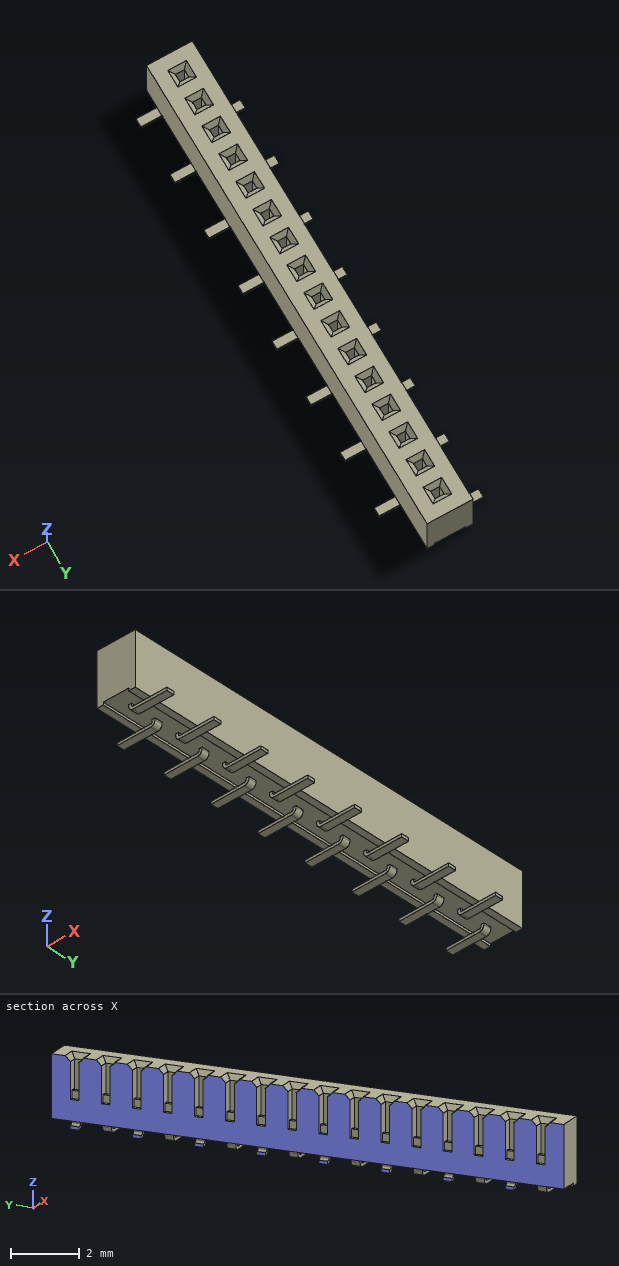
import cadquery as cq

contact_count = 16
row_length = 16.5
pitch = row_length / (contact_count + 0.5)

body_width = 1.55
body_bottom = 0.15
total_height = 2.25

lead_span = 2.95
contact_thickness = 0.12
contact_width = 0.3
bend_inner_radius = 0.07
bend_outer_radius = bend_inner_radius + contact_thickness

foot_width = 0.26
channel_width = body_width - 2 * foot_width
channel_depth = 0.1

mouth_x = 0.63
mouth_y = 0.6
funnel_depth = 0.16
bore_x = mouth_x - 2 * funnel_depth
bore_y = mouth_y - 2 * funnel_depth
bore_depth = 1.32
contact_rise = 0.25

socket_floor = total_height - bore_depth
contact_top = socket_floor + contact_rise

contact_positions = [
    (index - (contact_count - 1) / 2) * pitch for index in range(contact_count)
]


def box_from_base(size_x, size_y, size_z, base_z):
    """Box centred on the Z axis, standing on base_z."""
    base = cq.Workplane("XY").workplane(offset=base_z)
    return base.rect(size_x, size_y).extrude(size_z)


def make_body():
    body = box_from_base(body_width, row_length, total_height - body_bottom, body_bottom)
    channel = box_from_base(channel_width, row_length, channel_depth, body_bottom)
    return body.cut(channel)


def make_socket():
    """Tapered mouth leading into a rectangular blind bore."""
    funnel = (
        cq.Workplane("XY")
        .workplane(offset=total_height)
        .rect(mouth_x, mouth_y)
        .workplane(offset=-funnel_depth)
        .rect(bore_x, bore_y)
        .loft(ruled=True)
    )
    bore = box_from_base(bore_x, bore_y, bore_depth - funnel_depth, socket_floor)
    return funnel.union(bore)


def make_contact(side):
    """L-shaped strip: a flat lead to one side (-1 or +1 along X), bent up into the socket."""
    lead_tip = side * lead_span / 2
    near_face = side * contact_thickness / 2
    far_face = -near_face
    inner_bend_end = (near_face + side * bend_inner_radius, contact_thickness)
    return (
        cq.Workplane("XZ")
        .moveTo(lead_tip, 0)
        .lineTo(far_face + side * bend_outer_radius, 0)
        .radiusArc((far_face, bend_outer_radius), side * bend_outer_radius)
        .lineTo(far_face, contact_top)
        .lineTo(near_face, contact_top)
        .lineTo(near_face, bend_outer_radius)
        .radiusArc(inner_bend_end, -side * bend_inner_radius)
        .lineTo(lead_tip, contact_thickness)
        .close()
        .extrude(contact_width / 2, both=True)
    )


body = make_body()
socket = make_socket()
for y in contact_positions:
    body = body.cut(socket.translate((0, y, 0)))

result = body
for index, y in enumerate(contact_positions):
    side = 1 if index % 2 == 0 else -1
    result = result.union(make_contact(side).translate((0, y, 0)))